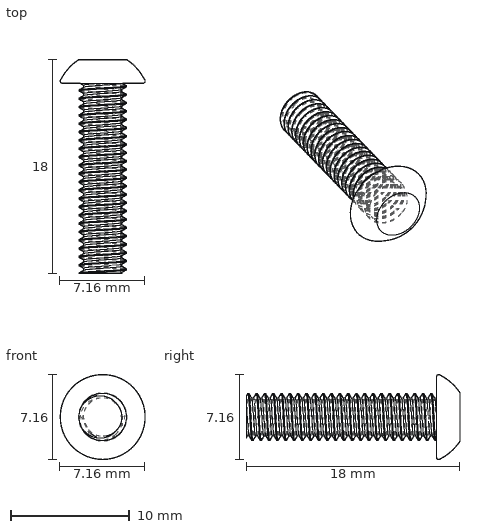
import cadquery as cq
import math

total_length = 18.0
head_height = 2.0
shank_length = total_length - head_height

head_radius = 3.58
crown_radius = 2.03
rim_rounding = 0.2
rim_angle = math.radians(36)
dome_bulge = 0.15

pitch = 0.7
major_radius = 2.0
sharp_height = pitch * math.sqrt(3) / 2
root_radius = major_radius - 5 / 8 * sharp_height
crest_width = pitch / 8
root_gap = pitch / 4
root_overlap = 0.04


def make_head():
    rim_center_x = head_radius - rim_rounding
    dome_start = (
        rim_center_x + rim_rounding * math.cos(rim_angle),
        rim_rounding * (1 + math.sin(rim_angle)),
    )
    dome_end = (crown_radius, head_height)
    run = dome_start[0] - dome_end[0]
    rise = dome_end[1] - dome_start[1]
    chord = math.hypot(run, rise)
    dome_middle = (
        (dome_start[0] + dome_end[0]) / 2 + dome_bulge * rise / chord,
        (dome_start[1] + dome_end[1]) / 2 + dome_bulge * run / chord,
    )
    return (
        cq.Workplane("XY")
        .lineTo(rim_center_x, 0)
        .threePointArc((head_radius, rim_rounding), dome_start)
        .threePointArc(dome_middle, dome_end)
        .lineTo(0, head_height)
        .close()
        .revolve(360, (0, 0, 0), (0, 1, 0))
        .rotate((0, 0, 0), (0, 1, 0), 90)
    )


def make_thread_ridge():
    """Right-handed ridge whose crest starts at -X, one pitch below the tip, and which ends inside the head.

    It is built along Z, then turned so that Z becomes Y.
    """
    turns = math.floor(shank_length / pitch) + 3
    helix = cq.Wire.makeHelix(pitch, turns * pitch, root_radius)
    half_crest = crest_width / 2
    half_root = (pitch - root_gap) / 2
    half_base = half_root + root_overlap * math.tan(math.radians(30))
    ridge = (
        cq.Workplane("XZ")
        .polyline([
            (root_radius - root_overlap, -half_base),
            (major_radius, -half_crest),
            (major_radius, half_crest),
            (root_radius - root_overlap, half_base),
        ])
        .close()
        .sweep(cq.Workplane(obj=helix), isFrenet=True)
    )
    return (
        ridge.rotate((0, 0, 0), (0, 0, 1), 180)
        .rotate((0, 0, 0), (1, 0, 0), -90)
        .translate((0, -shank_length - pitch, 0))
    )


def make_shank():
    core = cq.Workplane("XZ").circle(root_radius).extrude(shank_length)
    envelope = cq.Workplane("XZ").circle(major_radius + pitch).extrude(shank_length)
    return core.union(make_thread_ridge().intersect(envelope))


result = make_head().union(make_shank())